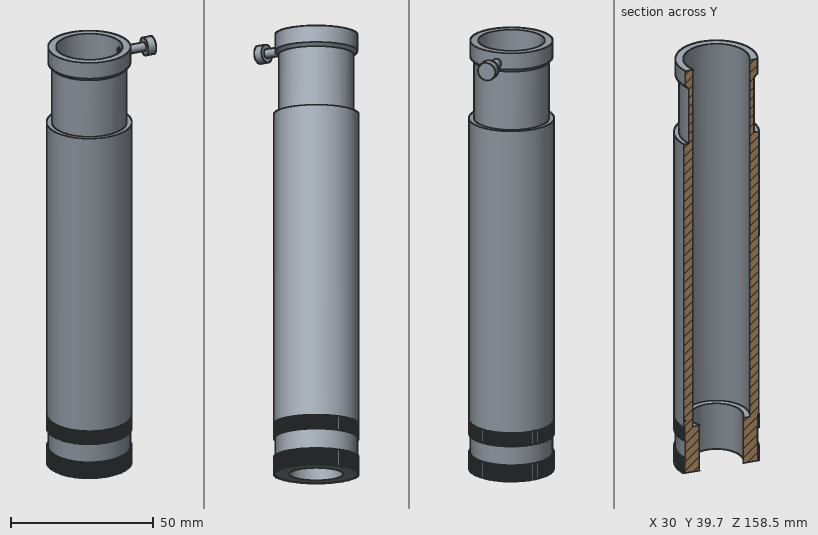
import cadquery as cq
import math

total_height = 158.5
lower_knurl_top = 6.0
upper_knurl_bottom = 13.0
upper_knurl_top = 18.0
draw_tube_length = 28.75
body_top = total_height - draw_tube_length

collar_height = 6.0

body_diameter = 30.0
neck_diameter = 29.0
collar_diameter = 29.0
tube_diameter = 26.5
eyepiece_bore_diameter = 23.4
lens_bore_diameter = 19.0

knurl_groove_count = 120
knurl_groove_depth = 0.4

screw_depth_from_top = 3.95
screw_end_y = 24.67
screw_head_diameter = 6.5
screw_head_length = 3.17
screw_shank_diameter = 3.2
screw_tip_y = 12.2
screw_hole_diameter = 2.7


def cylinder(diameter, bottom, top):
    return cq.Workplane("XY").workplane(offset=bottom).circle(diameter / 2).extrude(top - bottom)


def knurled_band(bottom, top):
    """Disc whose rim is a ring of V-shaped teeth."""
    crest_radius = body_diameter / 2
    root_radius = crest_radius - knurl_groove_depth
    half_pitch = math.pi / knurl_groove_count
    points = []
    for index in range(2 * knurl_groove_count):
        radius = root_radius if index % 2 else crest_radius
        angle = index * half_pitch
        points.append((radius * math.cos(angle), radius * math.sin(angle)))
    return cq.Workplane("XY").workplane(offset=bottom).polyline(points).close().extrude(top - bottom)


def collared_tube():
    """Draw tube with a collar whose lower edge tapers at 45 degrees into the tube."""
    taper_height = (collar_diameter - tube_diameter) / 2
    collar_bottom = total_height - collar_height
    profile = [
        (0, body_top),
        (tube_diameter / 2, body_top),
        (tube_diameter / 2, collar_bottom - taper_height),
        (collar_diameter / 2, collar_bottom),
        (collar_diameter / 2, total_height),
        (0, total_height),
    ]
    return cq.Workplane("XZ").polyline(profile).close().revolve(360, (0, 0, 0), (0, 1, 0))


def screw_cylinder(diameter, start_y, end_y):
    """Cylinder on the screw axis, which runs along Y through the collar."""
    axis_plane = cq.Plane(
        origin=(0, start_y, total_height - screw_depth_from_top), xDir=(1, 0, 0), normal=(0, 1, 0)
    )
    return cq.Workplane(axis_plane).circle(diameter / 2).extrude(end_y - start_y)


def clamping_screw():
    shank = screw_cylinder(screw_shank_diameter, screw_tip_y, screw_end_y)
    head = screw_cylinder(screw_head_diameter, screw_end_y - screw_head_length, screw_end_y)
    return shank.union(head)


outside = (
    knurled_band(0, lower_knurl_top)
    .union(cylinder(neck_diameter, lower_knurl_top, upper_knurl_bottom))
    .union(knurled_band(upper_knurl_bottom, upper_knurl_top))
    .union(cylinder(body_diameter, upper_knurl_top, body_top))
    .union(collared_tube())
)
lens_bore = cylinder(lens_bore_diameter, 0, upper_knurl_top)
eyepiece_bore = cylinder(eyepiece_bore_diameter, upper_knurl_top, total_height)

screw_hole = screw_cylinder(screw_hole_diameter, 0, screw_tip_y)

result = outside.cut(lens_bore).cut(eyepiece_bore).cut(screw_hole).union(clamping_screw())